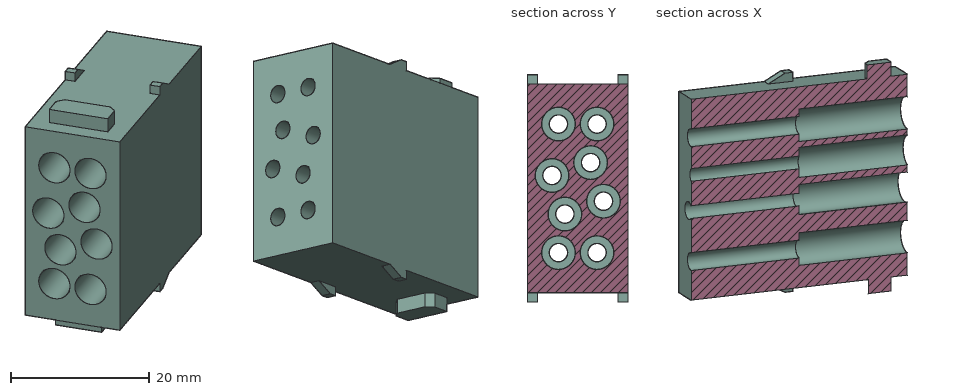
import cadquery as cq

width = 14.6
length = 34.0
overall_height = 34.4
tab_height = 2.1
body_height = overall_height - 2 * tab_height
front_y = -length / 2

grid_pitch = 1.85
through_diameter = 2.6
mouth_diameter = 4.8
mouth_depth = length / 2
corner_cells = [(x, z) for x in (-1.5, 1.5) for z in (-5, 5)]
centre_cells = [(1, 2), (-2, 1), (-1, -2), (2, -1)]

upper_tab_width = 9.0
lower_tab_width = 7.12
tab_length = 3.82
tab_setback = 2.55
tab_chamfer = 1.0

latch_width = 1.5
latch_height = 1.35
latch_length = 3.9
latch_flat = 1.25
latch_front_y = -0.3


def contact_bores():
    """Stepped bores open at both ends, the wide mouths at the front."""
    centres = [(x * grid_pitch, z * grid_pitch) for x, z in corner_cells + centre_cells]
    front_plane = cq.Workplane("XZ", origin=(0, front_y, 0)).pushPoints(centres)
    mouths = front_plane.circle(mouth_diameter / 2).extrude(-mouth_depth)
    passages = front_plane.circle(through_diameter / 2).extrude(-length)
    return mouths.union(passages)


def coding_tab(tab_width):
    """Tab on the upper face with its two rear corners chamfered."""
    return (
        cq.Workplane("XY", origin=(0, front_y + tab_setback, body_height / 2))
        .box(tab_width, tab_length, tab_height, centered=(True, False, False))
        .edges("|Z and >Y")
        .chamfer(tab_chamfer)
    )


def latch_pair():
    """Two wedges on the upper face, rising from the rear to a flat top and a square front."""
    wedge = (
        cq.Workplane("YZ", origin=(-width / 2, latch_front_y, body_height / 2))
        .lineTo(0, latch_height)
        .lineTo(latch_flat, latch_height)
        .lineTo(latch_length, 0)
        .close()
        .extrude(latch_width)
    )
    return wedge.union(wedge.mirror("YZ"))


body = cq.Workplane("XY").box(width, length, body_height).cut(contact_bores())
upper_latches = latch_pair()
result = (
    body.union(coding_tab(upper_tab_width))
    .union(coding_tab(lower_tab_width).mirror("XY"))
    .union(upper_latches)
    .union(upper_latches.mirror("XY"))
)